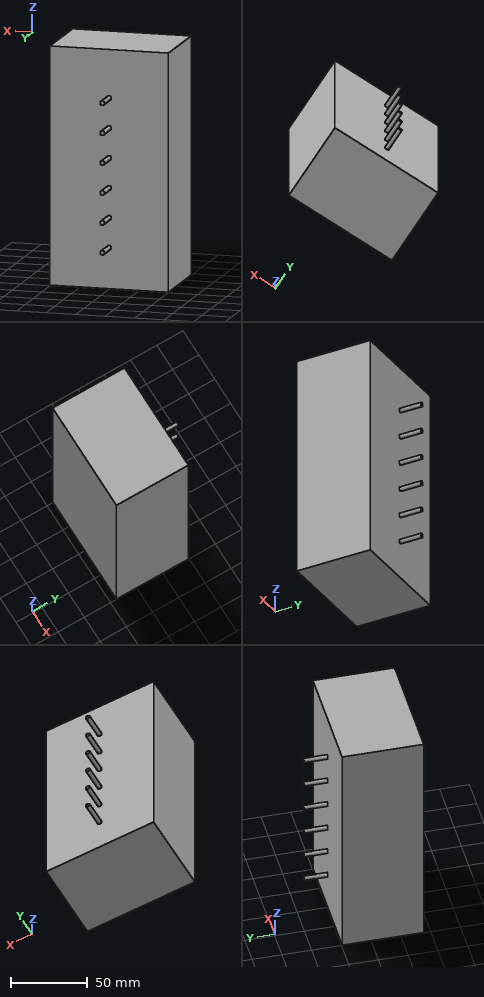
import cadquery as cq

body_width = 80.6
body_depth = 55.0
body_height = 160.0

pin_count = 6
pin_diameter = 3.0
pin_length = 16.0
pin_pitch = 20.0
lowest_pin_height = 27.5


def make_body():
    return cq.Workplane("XY").box(
        body_width, body_depth, body_height, centered=(True, False, False)
    )


def make_pin(height):
    """Round pin standing out from the back face at the given height."""
    base = cq.Vector(0, body_depth, height)
    back = cq.Vector(0, 1, 0)
    return cq.Workplane(cq.Plane(base, normal=back)).circle(pin_diameter / 2).extrude(pin_length)


result = make_body()
for index in range(pin_count):
    result = result.union(make_pin(lowest_pin_height + index * pin_pitch))